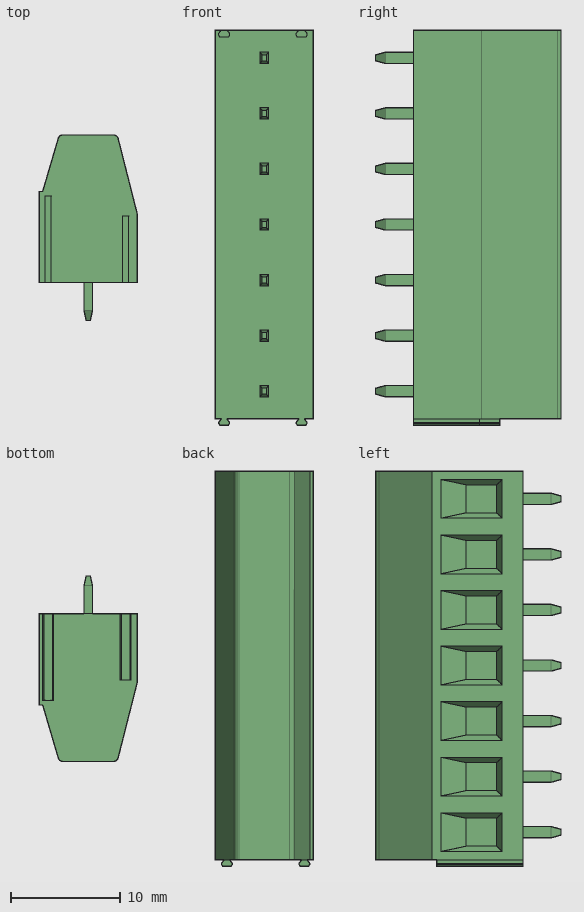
import cadquery as cq


pole_count = 7
body_width = 9.0
body_depth = 13.52
overall_height = 36.15
body_height = 35.58
pitch = body_height / pole_count
half_width = body_width / 2
entry_face_depth = 8.35
back_face_depth = 6.25
ledge_width = 0.33
crown_inset = 1.85
crown_radius = 0.47

pin_width = 0.8
pin_height = 1.05
pin_straight = 2.55
pin_taper = 0.9
pin_tip_width = 0.4
pin_tip_height = 0.55

entry_depth = 0.95
mouth_start = 1.9
mouth_end = 7.52
mouth_height = 3.55
floor_start = 2.42
floor_end = 5.25
floor_height = 2.55

rail_height = overall_height - body_height
groove_clearance = 0.07
groove_depth = rail_height + groove_clearance
rail_neck_width = 0.55
rail_head_width = 1.0
rail_tip_width = 0.8
rail_flare_height = 0.33
rail_bevel_height = 0.18
entry_rail_inset = 0.83
entry_rail_x = entry_rail_inset - half_width
entry_rail_length = 7.92
back_rail_inset = 1.1
back_rail_x = half_width - back_rail_inset
back_rail_length = 6.07


def make_housing():
    outline = [
        (-half_width, 0),
        (half_width, 0),
        (half_width, back_face_depth),
        (half_width - crown_inset, body_depth),
        (crown_inset - half_width, body_depth),
        (ledge_width - half_width, entry_face_depth),
        (-half_width, entry_face_depth),
    ]
    housing = cq.Workplane("XY").polyline(outline).close().extrude(body_height)
    return housing.faces(">Y").edges("|Z").fillet(crown_radius)


def make_pin(z):
    """Straight rectangular pin with a tapered end, pointing toward -Y."""
    shank = cq.Workplane("XZ").center(0, z).rect(pin_width, pin_height).extrude(pin_straight)
    tip = (
        cq.Workplane("XZ", origin=(0, -pin_straight, z))
        .rect(pin_width, pin_height)
        .workplane(offset=pin_taper)
        .rect(pin_tip_width, pin_tip_height)
        .loft(ruled=True)
    )
    return shank.union(tip)


def make_entry(z):
    """Funnel-shaped recess that opens on the -X face."""
    mouth_y = (mouth_start + mouth_end) / 2
    floor_y = (floor_start + floor_end) / 2
    return (
        cq.Workplane("YZ", origin=(-half_width, mouth_y, z))
        .rect(mouth_end - mouth_start, mouth_height)
        .workplane(offset=entry_depth)
        .center(floor_y - mouth_y, 0)
        .rect(floor_end - floor_start, floor_height)
        .loft(ruled=True)
    )


def make_rail(x, top_z, height, length):
    """Undercut rail that hangs down from top_z and runs from the seating face toward +Y."""
    half_section = [
        (rail_neck_width / 2, 0),
        (rail_head_width / 2, -rail_flare_height),
        (rail_head_width / 2, rail_bevel_height - height),
        (rail_tip_width / 2, -height),
    ]
    mirrored = [(-u, v) for u, v in reversed(half_section)]
    section = cq.Workplane("XZ", origin=(x, 0, top_z)).polyline(half_section + mirrored)
    return section.close().extrude(-length)


result = make_housing()

for pole in range(pole_count):
    pole_z = (pole + 0.5) * pitch
    result = result.cut(make_entry(pole_z)).union(make_pin(pole_z))

for rail_x, rail_length in ((entry_rail_x, entry_rail_length), (back_rail_x, back_rail_length)):
    result = result.union(make_rail(rail_x, 0, rail_height, rail_length))
    result = result.cut(make_rail(rail_x, body_height, groove_depth, rail_length))